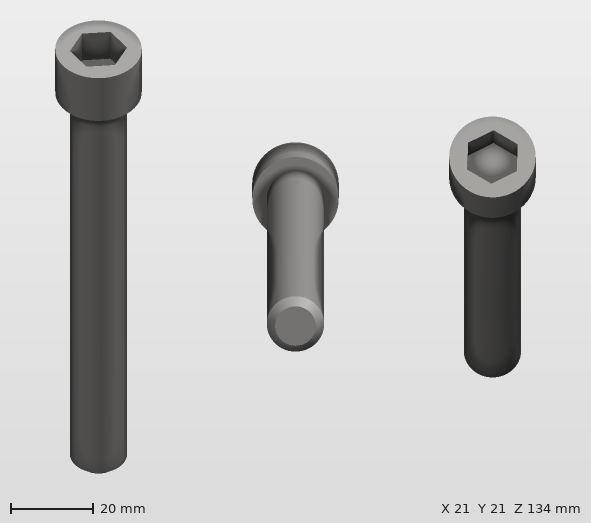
import cadquery as cq
import math

total_length = 134.0
head_diameter = 21.0
shank_diameter = 14.0
head_height = shank_diameter
threaded_length = 40.0
tip_chamfer = 2.0
socket_across_flats = 12.0
socket_depth = 8.7

shank_length = total_length - head_height
plain_length = shank_length - threaded_length
socket_across_corners = socket_across_flats / math.cos(math.radians(30))

head = cq.Workplane("XY").circle(head_diameter / 2).extrude(head_height)

plain_shank = cq.Workplane("XY").circle(shank_diameter / 2).extrude(-plain_length)

threaded_end = (
    cq.Workplane("XY", origin=(0, 0, -shank_length))
    .circle(shank_diameter / 2)
    .extrude(threaded_length)
    .faces("<Z")
    .chamfer(tip_chamfer)
)

socket = (
    cq.Workplane("XY", origin=(0, 0, head_height))
    .polygon(6, socket_across_corners)
    .extrude(-socket_depth)
)

result = head.union(plain_shank).union(threaded_end).cut(socket)